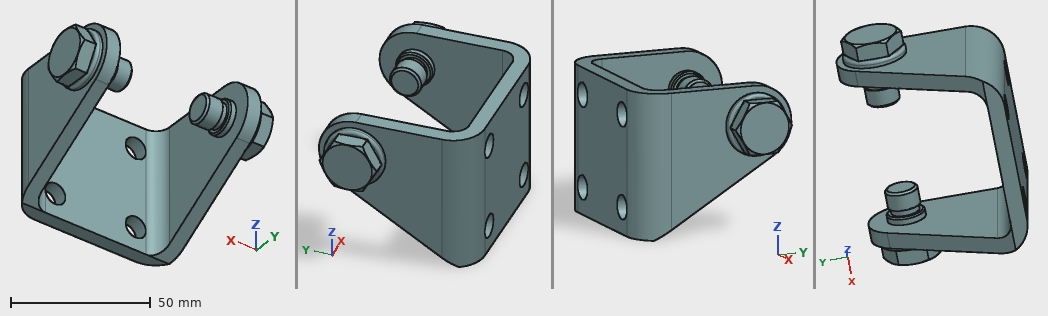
import cadquery as cq
import math

overall_width = 86.1
bracket_depth = 59.0
bracket_height = 54.0

bracket_width = 69.05
plate = 6.0
inner_bend_radius = 6.0
outer_bend_radius = inner_bend_radius + plate
ear_radius = 14.0
bottom_land = 6.0

hole_diameter = 8.95
hole_spacing_x = 36.0
hole_spacing_z = 34.0
hole_center_z = bracket_height / 2

across_flats = 19.0
head_face_diameter = 18.8
head_chamfer_angle = 30.0
flange_diameter = 23.0
flange_thickness = 2.5
flange_fillet = 1.2
shoulder_diameter = 14.0
shoulder_reach = 2.75
shoulder_chamfer = 0.6
neck_diameter = 10.4
neck_length = 2.3
tip_diameter = 12.0
tip_length = 6.8
tip_chamfer = 0.9

pivot_y = bracket_depth - ear_radius
pivot_z = bracket_height - ear_radius
head_length = (overall_width - bracket_width) / 2
hexagon_length = head_length - flange_thickness


def tangent_point_on_ear():
    """Point (Y, Z) where the sloping lower edge meets the rounded ear."""
    to_corner_y = bottom_land - pivot_y
    to_corner_z = -pivot_z
    corner_direction = math.atan2(to_corner_z, to_corner_y)
    corner_distance = math.hypot(to_corner_y, to_corner_z)
    direction = corner_direction + math.acos(ear_radius / corner_distance)
    return (
        pivot_y + ear_radius * math.cos(direction),
        pivot_z + ear_radius * math.sin(direction),
    )


def make_bent_channel():
    """Full-height U channel, open toward +Y, with its mounting face at Y = 0."""
    outer = (
        cq.Workplane("XY")
        .rect(bracket_width, 2 * bracket_depth)
        .extrude(bracket_height)
        .edges("|Z and <Y")
        .fillet(outer_bend_radius)
        .translate((0, bracket_depth, 0))
    )
    inner = (
        cq.Workplane("XY")
        .rect(bracket_width - 2 * plate, 2 * bracket_depth)
        .extrude(bracket_height)
        .edges("|Z and <Y")
        .fillet(inner_bend_radius)
        .translate((0, bracket_depth + plate, 0))
    )
    return outer.cut(inner)


def make_side_profile():
    """Outline of the arms seen along X, extruded across the whole bracket."""
    return (
        cq.Workplane("YZ")
        .moveTo(0, 0)
        .lineTo(bottom_land, 0)
        .lineTo(*tangent_point_on_ear())
        .threePointArc((bracket_depth, pivot_z), (pivot_y, bracket_height))
        .lineTo(0, bracket_height)
        .close()
        .extrude(bracket_width / 2, both=True)
    )


def make_mounting_holes():
    """Four cylinders passing through the back plate."""
    return (
        cq.Workplane("XZ")
        .center(0, hole_center_z)
        .rarray(hole_spacing_x, hole_spacing_z, 2, 2)
        .circle(hole_diameter / 2)
        .extrude(-plate)
    )


def make_hexagon():
    """Hexagon of the bolt head, from X = 0 inward, chamfered on its outer face."""
    corner_radius = across_flats / math.sqrt(3)
    face_radius = head_face_diameter / 2
    chamfer_depth = (corner_radius - face_radius) * math.tan(math.radians(head_chamfer_angle))
    hexagon = cq.Workplane("YZ").polygon(6, 2 * corner_radius).extrude(hexagon_length)
    chamfer_envelope = (
        cq.Workplane("XY")
        .moveTo(0, 0)
        .lineTo(0, face_radius)
        .lineTo(chamfer_depth, corner_radius)
        .lineTo(hexagon_length, corner_radius)
        .lineTo(hexagon_length, 0)
        .close()
        .revolve(360, (0, 0, 0), (1, 0, 0))
    )
    return hexagon.intersect(chamfer_envelope)


def make_bolt():
    """Bolt along +X with the outer face of its head at X = 0."""
    shoulder_length = plate + shoulder_reach
    flange = (
        cq.Workplane("YZ", origin=(hexagon_length, 0, 0))
        .circle(flange_diameter / 2)
        .extrude(flange_thickness)
        .edges("<X")
        .fillet(flange_fillet)
    )
    shoulder = (
        cq.Workplane("YZ", origin=(head_length, 0, 0))
        .circle(shoulder_diameter / 2)
        .extrude(shoulder_length)
        .edges(">X")
        .chamfer(shoulder_chamfer)
    )
    neck = (
        cq.Workplane("YZ", origin=(head_length + shoulder_length, 0, 0))
        .circle(neck_diameter / 2)
        .extrude(neck_length)
    )
    tip = (
        cq.Workplane("YZ", origin=(head_length + shoulder_length + neck_length, 0, 0))
        .circle(tip_diameter / 2)
        .extrude(tip_length)
        .edges(">X")
        .chamfer(tip_chamfer)
    )
    return make_hexagon().union(flange).union(shoulder).union(neck).union(tip)


bracket = make_bent_channel().intersect(make_side_profile()).cut(make_mounting_holes())
left_bolt = make_bolt().translate((-overall_width / 2, pivot_y, pivot_z))
right_bolt = left_bolt.mirror("YZ")
result = bracket.union(left_bolt).union(right_bolt)